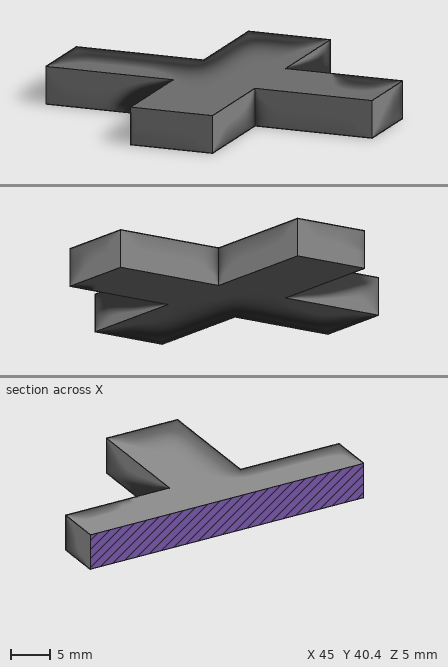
import cadquery as cq

length_x = 45.05
length_y = 40.4
thickness = 5.0

x_bar_width = 10.5
front_arm_length = 14.55

y_bar_width = 11.3
left_arm_length = 17.58

min_x = -length_x / 2
min_y = -length_y / 2


def bar(corner_x, corner_y, size_x, size_y):
    """Flat rectangular bar placed by its lower-left corner."""
    return (
        cq.Workplane("XY")
        .box(size_x, size_y, thickness, centered=False)
        .translate((corner_x, corner_y, 0))
    )


x_bar = bar(min_x, min_y + front_arm_length, length_x, x_bar_width)
y_bar = bar(min_x + left_arm_length, min_y, y_bar_width, length_y)

result = x_bar.union(y_bar).clean()